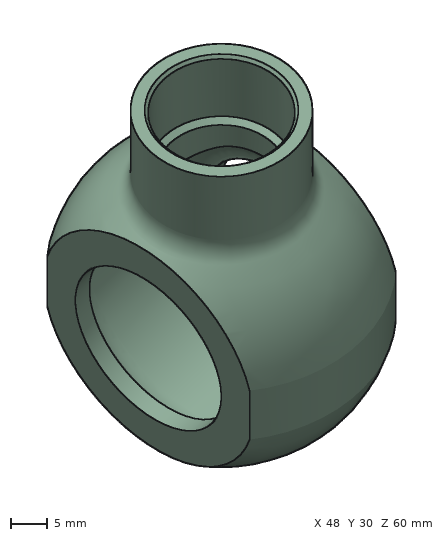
import cadquery as cq
import math

body_radius = 24.0
body_thickness = 30.0
total_height = 60.0
band_half_height = 4.9
sphere_radius = math.hypot(body_radius, band_half_height)
sphere_z = body_radius

neck_radius = 25.0 / 2
neck_fillet = 4.0
neck_bore_radius = 20.15 / 2
neck_bore_depth = 12.0
neck_chamfer = 0.5
passage_radius = 18.0 / 2
step_height = 0.6

cross_hole_radius = 27.0 / 2
chamber_radius = 20.0
chamber_width = 24.25
chamber_fillet = 6.0


def make_body():
    """Revolve the ball, its cylindrical band, the neck and the blend between them."""
    blend_x = neck_radius + neck_fillet
    blend_distance = sphere_radius + neck_fillet
    blend_height = math.sqrt(blend_distance**2 - blend_x**2)
    blend_z = sphere_z + blend_height
    touch_x = blend_x * sphere_radius / blend_distance
    touch_z = sphere_z + blend_height * sphere_radius / blend_distance
    touch_angle = math.atan2(blend_height, blend_x)
    blend_mid = (
        blend_x - neck_fillet * math.cos(touch_angle / 2),
        blend_z - neck_fillet * math.sin(touch_angle / 2),
    )

    def on_sphere(angle):
        return (sphere_radius * math.cos(angle), sphere_z + sphere_radius * math.sin(angle))

    band_angle = math.atan2(band_half_height, body_radius)
    profile = (
        cq.Workplane("XZ")
        .lineTo(band_half_height, 0)
        .threePointArc(on_sphere(-math.pi / 4), (body_radius, sphere_z - band_half_height))
        .lineTo(body_radius, sphere_z + band_half_height)
        .threePointArc(on_sphere((band_angle + touch_angle) / 2), (touch_x, touch_z))
        .threePointArc(blend_mid, (neck_radius, blend_z))
        .lineTo(neck_radius, total_height)
        .lineTo(0, total_height)
        .close()
    )
    ball = profile.revolve(360, (0, 0, 0), (0, 1, 0))
    slab = cq.Workplane("XY").box(
        2 * body_radius, body_thickness, total_height, centered=(True, True, False)
    )
    return ball.intersect(slab)


def make_neck_bore():
    """Stepped bore from the chamfered rim down to the centre of the chamber."""
    step_z = total_height - neck_bore_depth
    profile = (
        cq.Workplane("XZ")
        .moveTo(0, sphere_z)
        .lineTo(passage_radius, sphere_z)
        .lineTo(passage_radius, step_z - step_height)
        .lineTo(neck_bore_radius, step_z)
        .lineTo(neck_bore_radius, total_height - neck_chamfer)
        .lineTo(neck_bore_radius + neck_chamfer, total_height)
        .lineTo(0, total_height)
        .close()
    )
    return profile.revolve(360, (0, 0, 0), (0, 1, 0))


def make_disc(radius, width):
    """Cylinder along Y, centred on the ball."""
    return cq.Workplane("XZ", origin=(0, 0, sphere_z)).circle(radius).extrude(width / 2, both=True)


cross_hole = make_disc(cross_hole_radius, body_thickness)
chamber = make_disc(chamber_radius, chamber_width).edges().fillet(chamber_fillet)

result = make_body().cut(cross_hole).cut(chamber).cut(make_neck_bore())